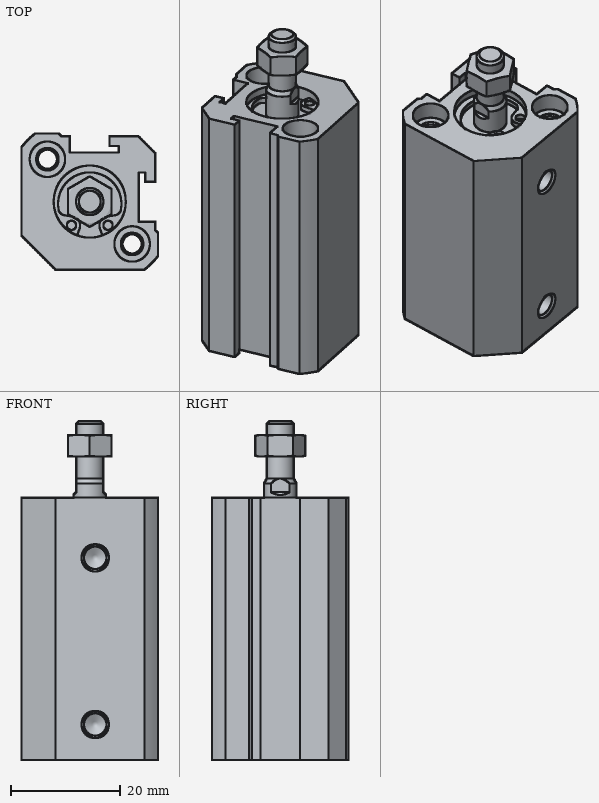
import cadquery as cq
import math


width = 25.0
half_width = width / 2
height = 48.0
rail_face = 12.0
rail_step_start = 5.7
rail_step_end = 5.2
corner_radius = 16.0
corner_edge = math.sqrt(corner_radius**2 - half_width**2)
front_chamfer = 6.25
rear_chamfer = 3.15
groove_floor = 9.0
groove_near_side = 3.65
groove_mouth = 3.6
groove_lip = 10.15
groove_undercut = 5.3

mount_offset = 7.75
mount_diameter = 3.5
mount_mouth_diameter = 4.13
mount_chamfer = (mount_mouth_diameter - mount_diameter) / 2
counterbore_diameter = 6.5
counterbore_depth = 3.5

port_x = 1.0
port_heights = (6.5, 37.0)
port_diameter = 4.13
port_mouth_diameter = 5.0
port_chamfer = (port_mouth_diameter - port_diameter) / 2
port_depth = 4.0
port_tip_angle = 118.0

recess_diameter = 13.2
recess_radius = recess_diameter / 2
ring_thickness = 1.0
ring_depth = 1.5
recess_floor = height - ring_depth - ring_thickness
ring_opening_radius = 5.8
ring_opening_y = -0.45
ring_corner_radius = 1.3
lug_x = 3.35
lug_y = -4.35
lug_radius = 1.6
lug_hole_diameter = 1.7
lug_top_angle = 80.0
lug_end_angle = -19.0

rod_diameter = 6.0
thread_diameter = 5.0
thread_start = height + 3.5
rod_top = height + 14.0
thread_chamfer = 0.5
shoulder_slope = 30.0
shoulder_height = (rod_diameter - thread_diameter) / 2 / math.tan(math.radians(shoulder_slope))
flats_width = 5.0
flats_bottom = height + 1.0

nut_across_flats = 8.0
nut_across_corners = nut_across_flats / math.cos(math.pi / 6)
nut_height = 4.0
nut_bottom = height + 7.5
nut_face_diameter = 7.9
nut_chamfer_angle = 15.0


def profile_half():
    """Points of the rear (+Y) side, from the left mounting corner to the rear right chamfer."""
    return [
        (-rail_step_start, half_width),
        (-rail_step_end, rail_face),
        (-groove_near_side, rail_face),
        (-groove_near_side, groove_floor),
        (groove_undercut, groove_floor),
        (groove_undercut, groove_lip),
        (groove_mouth, groove_lip),
        (groove_mouth, rail_face),
        (rail_face - rear_chamfer, rail_face),
    ]


def make_block():
    """The extruded profile, symmetric about the X = Y diagonal."""
    rear_side = profile_half()
    right_side = [(y, x) for x, y in reversed(rear_side)]
    corner_mid = corner_radius / math.sqrt(2)
    profile = cq.Workplane("XY").moveTo(-corner_edge, half_width)
    for point in rear_side + right_side:
        profile = profile.lineTo(*point)
    return (
        profile.lineTo(half_width, -corner_edge)
        .threePointArc((corner_mid, -corner_mid), (corner_edge, -half_width))
        .lineTo(front_chamfer - half_width, -half_width)
        .lineTo(-half_width, front_chamfer - half_width)
        .lineTo(-half_width, corner_edge)
        .threePointArc((-corner_mid, corner_mid), (-corner_edge, half_width))
        .close()
        .extrude(height)
    )


def mounting_hole():
    """Through hole with a chamfered mouth below a counterbore, on the Z axis."""
    seat = height - counterbore_depth
    return (
        cq.Workplane("XZ")
        .moveTo(0, 0)
        .lineTo(mount_diameter / 2, 0)
        .lineTo(mount_diameter / 2, seat - mount_chamfer)
        .lineTo(mount_mouth_diameter / 2, seat)
        .lineTo(counterbore_diameter / 2, seat)
        .lineTo(counterbore_diameter / 2, height)
        .lineTo(0, height)
        .close()
        .revolve(360, (0, 0, 0), (0, 1, 0))
    )


def port(z):
    """Drilled port with a chamfered mouth, entering from the front face."""
    radius = port_diameter / 2
    tip = port_depth + radius / math.tan(math.radians(port_tip_angle / 2))
    return (
        cq.Workplane("XY")
        .moveTo(0, 0)
        .lineTo(port_mouth_diameter / 2, 0)
        .lineTo(radius, port_chamfer)
        .lineTo(radius, port_depth)
        .lineTo(0, tip)
        .close()
        .revolve(360, (0, 0, 0), (0, 1, 0))
        .translate((port_x, -half_width, z))
    )


def offset_point(start, distance, angle):
    """Point at this distance from the start, in this direction in degrees."""
    direction = math.radians(angle)
    return (start[0] + distance * math.cos(direction), start[1] + distance * math.sin(direction))


def make_ring():
    """Retaining ring with two eared ends, standing on the XY plane."""
    lug_center = (-lug_x, lug_y)
    top = offset_point(lug_center, lug_radius, lug_top_angle)
    end = offset_point(lug_center, lug_radius, lug_end_angle)
    top_far = offset_point(top, recess_radius, lug_top_angle + 90)
    end_far = offset_point(end, recess_radius, lug_end_angle - 90)
    corner_far = (top_far[0], end_far[1])

    disc = cq.Workplane("XY").circle(recess_radius).extrude(ring_thickness)
    opening = (
        cq.Workplane("XY")
        .center(0, ring_opening_y)
        .circle(ring_opening_radius)
        .extrude(ring_thickness)
    )
    gap = (
        cq.Workplane("XY")
        .polyline([end, end_far, (-end_far[0], end_far[1]), (-end[0], end[1])])
        .close()
        .extrude(ring_thickness)
    )
    lug = (
        cq.Workplane("XY")
        .polyline([lug_center, top, top_far, corner_far, end_far, end])
        .close()
        .extrude(ring_thickness)
        .union(cq.Workplane("XY").center(*lug_center).circle(lug_radius).extrude(ring_thickness))
        .intersect(disc)
    )
    ring = disc.cut(opening).cut(gap).union(lug).union(lug.mirror("YZ"))

    for side in (-1, 1):
        corner = cq.selectors.NearestToPointSelector(
            (side * ring_opening_radius, top[1], ring_thickness / 2)
        )
        ring = ring.edges("|Z").edges(corner).fillet(ring_corner_radius)

    lug_holes = (
        cq.Workplane("XY")
        .pushPoints([(-lug_x, lug_y), (lug_x, lug_y)])
        .circle(lug_hole_diameter / 2)
        .extrude(ring_thickness)
    )
    return ring.cut(lug_holes)


def make_housing():
    block = make_block()
    for side in (-1, 1):
        block = block.cut(mounting_hole().translate((side * mount_offset, -side * mount_offset, 0)))
    for z in port_heights:
        block = block.cut(port(z))
    recess = (
        cq.Workplane("XY", origin=(0, 0, recess_floor))
        .circle(recess_radius)
        .extrude(height - recess_floor)
    )
    return block.cut(recess).union(make_ring().translate((0, 0, recess_floor)))


def make_rod():
    """Stepped rod standing on the recess floor, with two wrench flats facing -X and +X."""
    rod_radius = rod_diameter / 2
    thread_radius = thread_diameter / 2
    rod = (
        cq.Workplane("XZ")
        .moveTo(0, recess_floor)
        .lineTo(rod_radius, recess_floor)
        .lineTo(rod_radius, thread_start - shoulder_height)
        .lineTo(thread_radius, thread_start)
        .lineTo(thread_radius, rod_top - thread_chamfer)
        .lineTo(thread_radius - thread_chamfer, rod_top)
        .lineTo(0, rod_top)
        .close()
        .revolve(360, (0, 0, 0), (0, 1, 0))
    )
    flat_x = flats_width / 2
    flat_cut = (
        cq.Workplane("XZ")
        .moveTo(flat_x, thread_start)
        .lineTo(flat_x, flats_bottom)
        .lineTo(rod_radius, flats_bottom - (rod_radius - flat_x))
        .lineTo(rod_radius, thread_start)
        .close()
        .extrude(rod_radius, both=True)
    )
    return rod.cut(flat_cut).cut(flat_cut.mirror("YZ"))


def make_nut():
    """Hexagon nut with corners along Y and conical chamfers at both ends."""
    face_radius = nut_face_diameter / 2
    hexagon_radius = nut_across_corners / 2
    drop = (hexagon_radius - face_radius) * math.tan(math.radians(nut_chamfer_angle))
    cone = (
        cq.Workplane("XZ")
        .moveTo(0, 0)
        .lineTo(face_radius, 0)
        .lineTo(hexagon_radius, drop)
        .lineTo(hexagon_radius, nut_height - drop)
        .lineTo(face_radius, nut_height)
        .lineTo(0, nut_height)
        .close()
        .revolve(360, (0, 0, 0), (0, 1, 0))
    )
    hexagon = (
        cq.Workplane("XY")
        .polygon(6, nut_across_corners)
        .extrude(nut_height)
        .rotate((0, 0, 0), (0, 0, 1), 90)
    )
    bore = cq.Workplane("XY").circle(thread_diameter / 2).extrude(nut_height)
    return hexagon.intersect(cone).cut(bore).translate((0, 0, nut_bottom))


housing = make_housing()
rod = make_rod()
nut = make_nut()

result = cq.Compound.makeCompound([housing.val(), rod.val(), nut.val()])